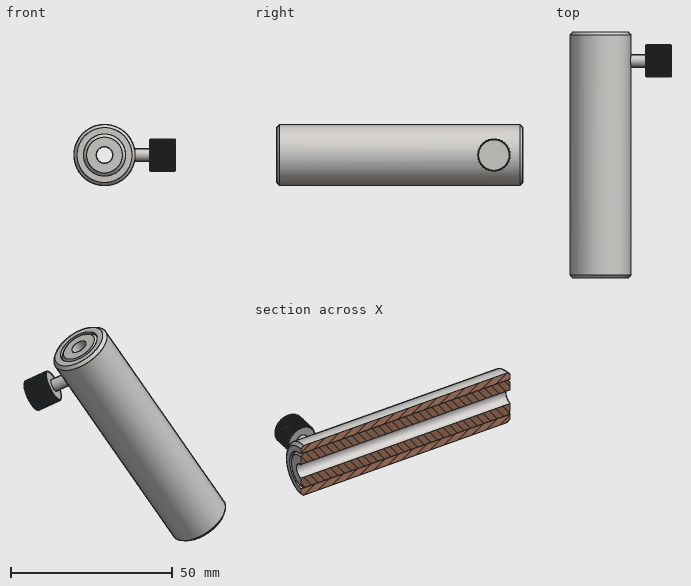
import cadquery as cq
import math

TUBE_LENGTH = 76.2
TUBE_DIAMETER = 19.0
END_CHAMFER = 1.0

CORE_DIAMETER = 13.0
CORE_BORE_DIAMETER = 5.0

SCREW_FROM_BACK_END = 9.0
SCREW_Y = TUBE_LENGTH / 2 - SCREW_FROM_BACK_END
SHANK_DIAMETER = 4.0
SHANK_TIP_X = CORE_DIAMETER / 2
OVERALL_X = 31.5
KNOB_END_X = OVERALL_X - TUBE_DIAMETER / 2
KNOB_LENGTH = 8.0
KNOB_START_X = KNOB_END_X - KNOB_LENGTH
KNOB_DIAMETER = 10.05
KNOB_CHAMFER = 0.3

RIDGE_COUNT = 30
RIDGE_HEIGHT = 0.15
RIDGE_PITCH = 2 * math.pi / RIDGE_COUNT
TIP_ANGLE = 0.3 * RIDGE_PITCH
BASE_ANGLE = 0.7 * RIDGE_PITCH


def chamfered_rod(diameter):
    """Full-length cylinder on the Y axis with both end rims chamfered."""
    return (
        cq.Workplane("XZ", origin=(0, TUBE_LENGTH / 2, 0))
        .circle(diameter / 2)
        .extrude(TUBE_LENGTH)
        .faces("<Y or >Y")
        .chamfer(END_CHAMFER)
    )


def bored_rod(diameter, bore_diameter):
    """Chamfered rod with a plain bore from end to end."""
    bore = (
        cq.Workplane("XZ", origin=(0, TUBE_LENGTH / 2, 0))
        .circle(bore_diameter / 2)
        .extrude(TUBE_LENGTH)
    )
    return chamfered_rod(diameter).cut(bore)


def screw_plane(x):
    """Plane square to the screw axis at the given X."""
    return cq.Workplane("YZ", origin=(x, SCREW_Y, 0))


def make_shank():
    """Plain round shank from the core surface to the knob."""
    return screw_plane(SHANK_TIP_X).circle(SHANK_DIAMETER / 2).extrude(KNOB_START_X - SHANK_TIP_X)


def make_tube():
    """Housing tube with a cross hole that fits the screw shank."""
    return bored_rod(TUBE_DIAMETER, CORE_DIAMETER).cut(make_shank())


def make_core():
    """Inner rod whose chamfered ends are flush with the tube ends."""
    return bored_rod(CORE_DIAMETER, CORE_BORE_DIAMETER)


def knurl_outline():
    """Points of the ridged knob section, four per ridge."""
    tip_radius = KNOB_DIAMETER / 2
    base_radius = tip_radius - RIDGE_HEIGHT
    ridge_corners = (
        (base_radius, -BASE_ANGLE / 2),
        (tip_radius, -TIP_ANGLE / 2),
        (tip_radius, TIP_ANGLE / 2),
        (base_radius, BASE_ANGLE / 2),
    )
    points = []
    for ridge in range(RIDGE_COUNT):
        for radius, offset in ridge_corners:
            angle = ridge * RIDGE_PITCH + offset
            points.append((radius * math.cos(angle), radius * math.sin(angle)))
    return points


def make_knob():
    """Knurled knob: a ridged prism trimmed by a chamfered cylinder."""
    ridged_prism = screw_plane(KNOB_START_X).polyline(knurl_outline()).close().extrude(KNOB_LENGTH)
    envelope = (
        screw_plane(KNOB_START_X)
        .circle(KNOB_DIAMETER / 2)
        .extrude(KNOB_LENGTH)
        .faces("<X or >X")
        .chamfer(KNOB_CHAMFER)
    )
    return ridged_prism.intersect(envelope)


def make_thumb_screw():
    """Knob and shank in one piece."""
    return make_knob().union(make_shank())


tube = make_tube()
core = make_core()
thumb_screw = make_thumb_screw()

bodies = [tube, core, thumb_screw]
result = cq.Compound.makeCompound([body.solids().val() for body in bodies])